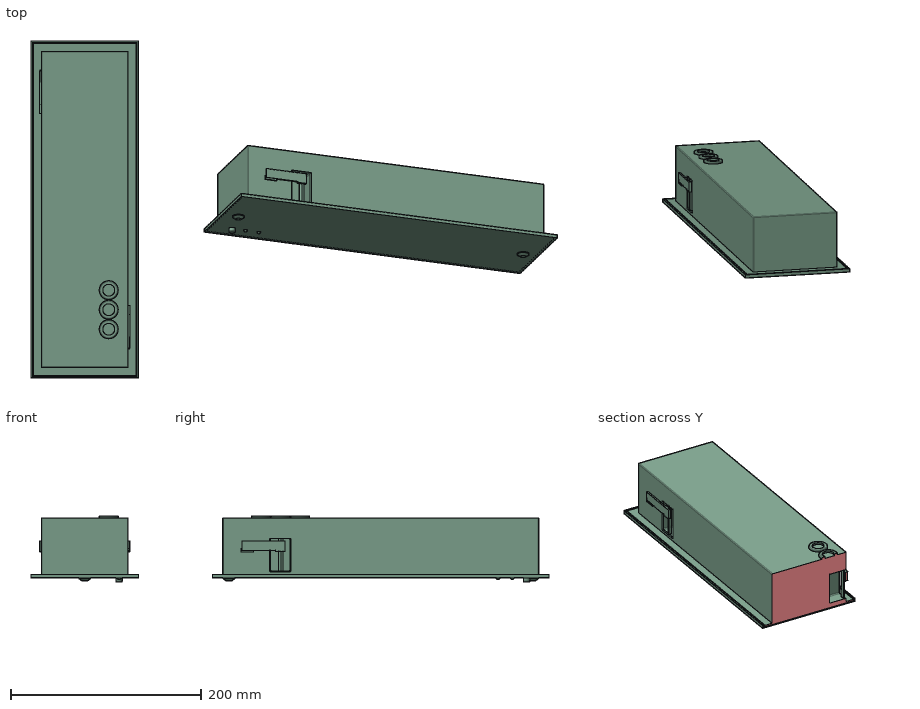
import cadquery as cq

cover_width = 113.0
cover_length = 354.0
cover_height = 3.5
cover_wall = 1.7
cover_floor = 1.0

flange_gap = 0.8
flange_inset = cover_wall + flange_gap
flange_width = cover_width - 2 * flange_inset
flange_length = cover_length - 2 * flange_inset
flange_margin = 11.0
box_width = cover_width - 2 * flange_margin
box_length = cover_length - 2 * flange_margin
box_top = 63.0
box_edge_radius = 0.8

ring_outer_diameter = 20.0
ring_inner_diameter = 12.5
ring_height = 2.0
ring_edge_radius = 1.0
ring_count = 3
ring_pitch = 20.5
ring_row_x = 25.2
ring_row_y = -105.3

pocket_y_min = 95.5
pocket_y_max = 115.7
pocket_z_min = 7.3
pocket_z_max = 41.5
pocket_depth = 20.0
pocket_corner_radius = 1.0
pocket_mouth_chamfer = 1.0

lever_thickness = 2.0
lever_y_min = 100.8
lever_y_max = 145.6
lever_z_min = 28.8
lever_z_max = 38.7
hub_y_max = 110.4
hub_drop = 1.0
hook_y_min = 133.9
hook_overhang = 1.1
hook_thickness = 1.5
hook_z_max = 31.0
hook_drop = 1.9
post_y_min = 102.9
post_y_max = 107.2
post_depth = 3.0
hub_inset = 1.0
post_chamfer = 2.2

foot_diameter = 12.6
foot_tip_diameter = 6.0
foot_height = 3.2
foot_rim_height = 1.0
foot_y = 159.5
lamp_diameter = 4.0
lamp_x = 36.0
lamp_y_places = (123.2, 138.1)
button_diameter = 6.8
button_height = 4.5
button_edge_radius = 1.0
button_x = 36.0
button_y = 153.2

wall_x = -box_width / 2


def block(x_min, x_max, y_min, y_max, z_min, z_max):
    """A box given by its limits along each axis."""
    size = cq.Workplane("XY").box(x_max - x_min, y_max - y_min, z_max - z_min, centered=False)
    return size.translate((x_min, y_min, z_min))


def opposite(latch_side):
    """The same shape turned half a turn about Z, onto the +X side."""
    return latch_side.rotate((0, 0, 0), (0, 0, 1), 180)


def rounded_rectangle(y_size, z_size):
    return cq.Sketch().rect(y_size, z_size).vertices().fillet(pocket_corner_radius)


def make_pocket_cutter():
    """Pocket whose mouth is chamfered on all edges but the top one."""
    y_middle = (pocket_y_min + pocket_y_max) / 2
    z_middle = (pocket_z_min + pocket_z_max) / 2
    y_size = pocket_y_max - pocket_y_min
    z_size = pocket_z_max - pocket_z_min
    mouth_y_size = y_size + 2 * pocket_mouth_chamfer
    mouth_z_size = z_size + pocket_mouth_chamfer
    inner_outline = rounded_rectangle(y_size, z_size)
    mouth_outline = rounded_rectangle(mouth_y_size, mouth_z_size)
    mouth_outline = mouth_outline.moved(cq.Location(cq.Vector(0, -pocket_mouth_chamfer / 2, 0)))
    inner_plane = cq.Workplane("YZ", origin=(wall_x + pocket_mouth_chamfer, y_middle, z_middle))
    pocket = inner_plane.placeSketch(inner_outline).extrude(pocket_depth - pocket_mouth_chamfer)
    mouth = inner_plane.placeSketch(
        inner_outline, mouth_outline.moved(cq.Location(cq.Vector(0, 0, -pocket_mouth_chamfer)))
    ).loft(ruled=True)
    return pocket.union(mouth)


def make_housing():
    flange = cq.Workplane("XY", origin=(0, 0, cover_floor)).rect(flange_width, flange_length)
    flange = flange.extrude(cover_height - cover_floor)
    box = cq.Workplane("XY", origin=(0, 0, cover_floor)).rect(box_width, box_length)
    box = box.extrude(box_top - cover_floor)
    box = box.edges("|Z or >Z").fillet(box_edge_radius)
    housing = flange.union(box)

    rings = (
        cq.Workplane("XY", origin=(ring_row_x, ring_row_y, box_top))
        .rarray(1, ring_pitch, 1, ring_count)
        .circle(ring_outer_diameter / 2)
        .extrude(ring_height)
        .edges(">Z")
        .fillet(ring_edge_radius)
    )
    bores = (
        cq.Workplane("XY", origin=(ring_row_x, ring_row_y, box_top))
        .rarray(1, ring_pitch, 1, ring_count)
        .circle(ring_inner_diameter / 2)
        .extrude(ring_height)
    )
    housing = housing.union(rings).cut(bores)

    pocket = make_pocket_cutter()
    return housing.cut(pocket).cut(opposite(pocket))


def make_foot(y):
    """Round foot under the cover: a thin disc that tapers to a smaller flat end."""
    profile = [
        (0, 0),
        (foot_diameter / 2, 0),
        (foot_diameter / 2, -foot_rim_height),
        (foot_tip_diameter / 2, -foot_height),
        (0, -foot_height),
    ]
    foot = cq.Workplane("XZ").polyline(profile).close().revolve(360, (0, 0, 0), (0, 1, 0))
    return foot.translate((0, y, 0))


def make_lamp(y):
    """Half-round indicator lamp under the cover."""
    ball = cq.Workplane("XY", origin=(lamp_x, y, 0)).sphere(lamp_diameter / 2)
    lower_half = cq.Workplane("XY", origin=(lamp_x, y, 0)).rect(lamp_diameter, lamp_diameter)
    return ball.intersect(lower_half.extrude(-lamp_diameter / 2))


def make_cover():
    cover = cq.Workplane("XY").rect(cover_width, cover_length).extrude(cover_height)
    recess = (
        cq.Workplane("XY", origin=(0, 0, cover_floor))
        .rect(cover_width - 2 * cover_wall, cover_length - 2 * cover_wall)
        .extrude(cover_height - cover_floor)
    )
    cover = cover.cut(recess)
    for y in (-foot_y, foot_y):
        cover = cover.union(make_foot(y))
    for y in lamp_y_places:
        cover = cover.union(make_lamp(y))
    return cover


def make_button():
    button = cq.Workplane("XY", origin=(button_x, button_y, -button_height))
    button = button.circle(button_diameter / 2).extrude(button_height)
    return button.faces("<Z").edges().fillet(button_edge_radius)


def make_latch():
    outer_x = wall_x - lever_thickness
    lever = block(outer_x, wall_x, lever_y_min, lever_y_max, lever_z_min, lever_z_max)
    hub = block(outer_x, wall_x + hub_inset, lever_y_min, hub_y_max, lever_z_min - hub_drop, lever_z_max)
    hook_y_max = lever_y_max + hook_overhang
    hook = block(
        wall_x - hook_thickness, wall_x, hook_y_min, hook_y_max, lever_z_min - hook_drop, hook_z_max
    )
    post = block(
        wall_x, wall_x + post_depth, post_y_min, post_y_max, pocket_z_min, pocket_z_max
    )
    post = post.edges("|Z and <X and >Y").chamfer(post_chamfer)
    return lever.union(hub).union(hook).union(post)


housing = make_housing()
cover = make_cover()
button = make_button()
left_latch = make_latch()
right_latch = opposite(left_latch)

result = cq.Compound.makeCompound(
    [housing.val(), cover.val(), button.val(), left_latch.val(), right_latch.val()]
)